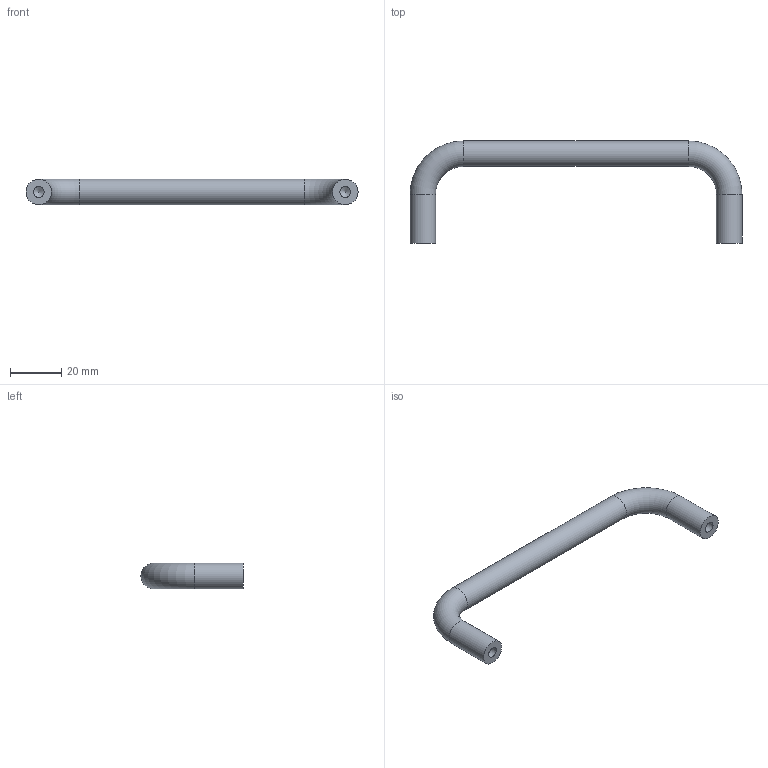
import cadquery as cq
import math

BAR_DIAMETER = 10.0
HOLE_SPACING = 120.0
PROJECTION = 40.0
BEND_RADIUS = 16.0
HOLE_DIAMETER = 4.2
HOLE_DEPTH = 15.0
DRILL_POINT_ANGLE = 118.0

LEG_X = HOLE_SPACING / 2
GRIP_Y = PROJECTION - BAR_DIAMETER / 2
LEG_LENGTH = GRIP_Y - BEND_RADIUS
GRIP_HALF_LENGTH = LEG_X - BEND_RADIUS
HOLE_RADIUS = HOLE_DIAMETER / 2
DRILL_POINT_LENGTH = HOLE_RADIUS / math.tan(math.radians(DRILL_POINT_ANGLE / 2))


def bent_bar():
    """Round bar swept along a U-shaped centreline in the XY plane."""
    centreline = (
        cq.Workplane("XY")
        .moveTo(-LEG_X, 0)
        .lineTo(-LEG_X, LEG_LENGTH)
        .tangentArcPoint((-GRIP_HALF_LENGTH, GRIP_Y), relative=False)
        .lineTo(GRIP_HALF_LENGTH, GRIP_Y)
        .tangentArcPoint((LEG_X, LEG_LENGTH), relative=False)
        .lineTo(LEG_X, 0)
    )
    section = cq.Workplane("XZ", origin=(-LEG_X, 0, 0)).circle(BAR_DIAMETER / 2)
    return section.sweep(centreline)


def mounting_hole(x):
    """Blind drilled hole with a conical bottom, running into a leg from its end face."""
    half_profile = (
        cq.Workplane("XY", origin=(x, 0, 0))
        .lineTo(HOLE_RADIUS, 0)
        .lineTo(HOLE_RADIUS, HOLE_DEPTH)
        .lineTo(0, HOLE_DEPTH + DRILL_POINT_LENGTH)
        .close()
    )
    return half_profile.revolve(360, (0, 0, 0), (0, 1, 0))


result = bent_bar()
for leg_x in (-LEG_X, LEG_X):
    result = result.cut(mounting_hole(leg_x))